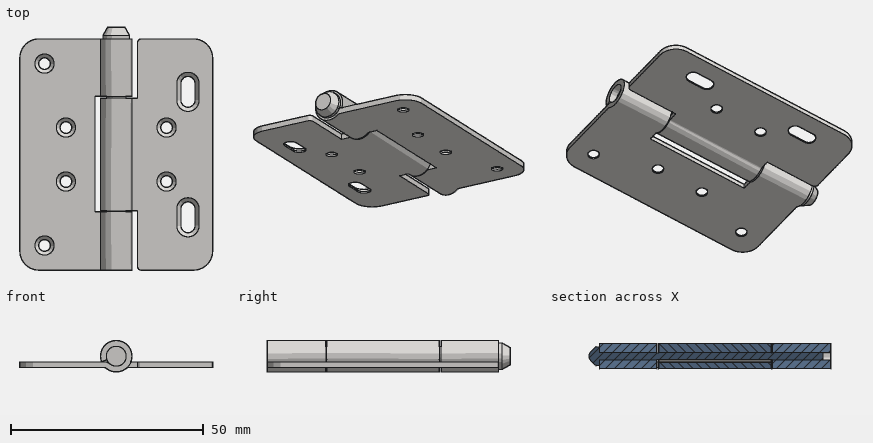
import cadquery as cq
import math


hinge_width = 50.0
leaf_height = 60.0
sheet = 1.5
sheet_drop = 1.45
barrel_radius = 4.1
corner_radius = 5.0
free_corner_radius = 1.0

clearance = 5.5
middle_length = 29.25
upper_gap = 0.45
lower_gap = 0.2
bend_radius = 1.0
seam_angle = 20.5

hole_diameter = 2.95
sink_diameter = 5.0
slot_width = 3.6
slot_sink_width = 5.8
slot_travel = 4.35
outer_hole_x = 18.6
outer_hole_y = 23.55
inner_hole_x = 13.05
inner_hole_y = 7.0
slot_y = 16.25

head_radius = 3.45
head_tip_radius = 2.25
head_rim = 0.9
head_length = 3.0
pin_recess = 2.0

half_width = hinge_width / 2
half_height = leaf_height / 2
bore_radius = barrel_radius - sheet
sheet_top = -sheet_drop
sheet_bottom = sheet_top - sheet
middle_top = middle_length / 2
middle_bottom = -middle_length / 2
bend_z = sheet_bottom - bend_radius
bend_reach = barrel_radius + bend_radius
bend_x = -math.sqrt(bend_reach**2 - bend_z**2)
bend_end_angle = math.atan2(-bend_z, -bend_x)
upper_knuckle_bottom = middle_top + upper_gap
lower_knuckle_top = middle_bottom - lower_gap


def along_y(profile, y_low, y_high):
    """Extrude a function's X-Z profile from y_low to y_high."""
    plane = cq.Workplane("XZ", origin=(0, y_high, 0))
    return profile(plane).extrude(y_high - y_low)


def block(x_low, x_high, y_low, y_high):
    """Flat piece of leaf sheet."""
    return (
        cq.Workplane("XY", origin=(0, 0, sheet_bottom))
        .moveTo((x_low + x_high) / 2, (y_low + y_high) / 2)
        .rect(x_high - x_low, y_high - y_low)
        .extrude(sheet)
    )


def bend_point(radius, angle):
    """Point in X-Z on a circle around the bend centre."""
    return bend_x + radius * math.cos(angle), bend_z + radius * math.sin(angle)


def bend_arc(plane, radius):
    """Arc around the bend centre from the flat sheet to the barrel curve."""
    middle_angle = (math.pi / 2 + bend_end_angle) / 2
    return plane.threePointArc(bend_point(radius, middle_angle), bend_point(radius, bend_end_angle))


def bend_fill_profile(plane):
    """Rounded underside joining the flat sheet to the barrel."""
    return bend_arc(plane.moveTo(bend_x, sheet_bottom), bend_radius).lineTo(bend_x, sheet_top).close()


def seam_profile(plane):
    """Opening between the radial end of the rolled sheet and the curling sheet top."""
    mouth_x = sheet_top / math.tan(math.radians(seam_angle))
    outline = plane.moveTo(0, 0).lineTo(mouth_x, sheet_top).lineTo(bend_x, sheet_top)
    return bend_arc(outline, bend_radius + sheet).close()


def knuckle(y_low, y_high):
    """Rolled barrel with its sheet on the -X side and an open seam above the sheet."""
    barrel = along_y(lambda plane: plane.circle(barrel_radius), y_low, y_high)
    strip = block(-clearance, bend_x, y_low, y_high)
    bend_fill = along_y(bend_fill_profile, y_low, y_high)
    bore = along_y(lambda plane: plane.circle(bore_radius), y_low, y_high)
    seam = along_y(seam_profile, y_low, y_high)
    return barrel.union(strip).union(bend_fill).cut(bore).cut(seam)


def mirrored(body):
    """Copy of a body on the opposite X side."""
    return body.mirror("YZ")


def plate():
    """Flat part of a leaf on the -X side, with rounded outer corners."""
    flat = block(-half_width, -clearance, -half_height, half_height)
    return flat.edges("|Z and <X").fillet(corner_radius)


def screw_hole(x, y):
    """Countersunk through hole with a 90 degree sink."""
    sink_depth = (sink_diameter - hole_diameter) / 2
    hole = (
        cq.Workplane("XY", origin=(x, y, sheet_bottom))
        .circle(hole_diameter / 2)
        .extrude(sheet)
    )
    sink = (
        cq.Workplane("XY", origin=(x, y, sheet_top))
        .circle(sink_diameter / 2)
        .extrude(-sink_depth, taper=45)
    )
    return hole.union(sink)


def screw_slot(x, y):
    """Countersunk through slot along Y with 90 degree flanks."""
    sink_depth = (slot_sink_width - slot_width) / 2
    slot = (
        cq.Workplane("XY", origin=(x, y, sheet_bottom))
        .slot2D(slot_travel + slot_width, slot_width, 90)
        .extrude(sheet)
    )
    sink = (
        cq.Workplane("XY", origin=(x, y, sheet_top))
        .slot2D(slot_travel + slot_sink_width, slot_sink_width, 90)
        .extrude(-sink_depth, taper=45)
    )
    return slot.union(sink)


def make_left_leaf():
    """Leaf with the two outer knuckles."""
    leaf = plate()
    for y_low, y_high in (
        (-half_height, lower_knuckle_top),
        (upper_knuckle_bottom, half_height),
    ):
        leaf = leaf.union(knuckle(y_low, y_high))
    for side in (-1, 1):
        leaf = leaf.cut(screw_hole(-outer_hole_x, side * outer_hole_y))
        leaf = leaf.cut(screw_hole(-inner_hole_x, side * inner_hole_y))
    return leaf


def make_right_leaf():
    """Leaf with the middle knuckle and slots for adjustment."""
    flat = plate().edges("|Z and >X").fillet(free_corner_radius)
    leaf = mirrored(flat.union(knuckle(middle_bottom, middle_top)))
    for side in (-1, 1):
        leaf = leaf.cut(screw_slot(outer_hole_x, side * slot_y))
        leaf = leaf.cut(screw_hole(inner_hole_x, side * inner_hole_y))
    return leaf


def make_pin():
    """Pin filling the bore, with a tapered head on the upper barrel end."""
    shank_end = -half_height + pin_recess
    head_end = half_height + head_length
    return (
        cq.Workplane("XY")
        .moveTo(0, shank_end)
        .lineTo(bore_radius, shank_end)
        .lineTo(bore_radius, half_height)
        .lineTo(head_radius, half_height)
        .lineTo(head_radius, half_height + head_rim)
        .lineTo(head_tip_radius, head_end)
        .lineTo(0, head_end)
        .close()
        .revolve(360, (0, 0, 0), (0, 1, 0))
    )


left_leaf = make_left_leaf()
right_leaf = make_right_leaf()
pin = make_pin()

result = cq.Compound.makeCompound([left_leaf.val(), right_leaf.val(), pin.val()])